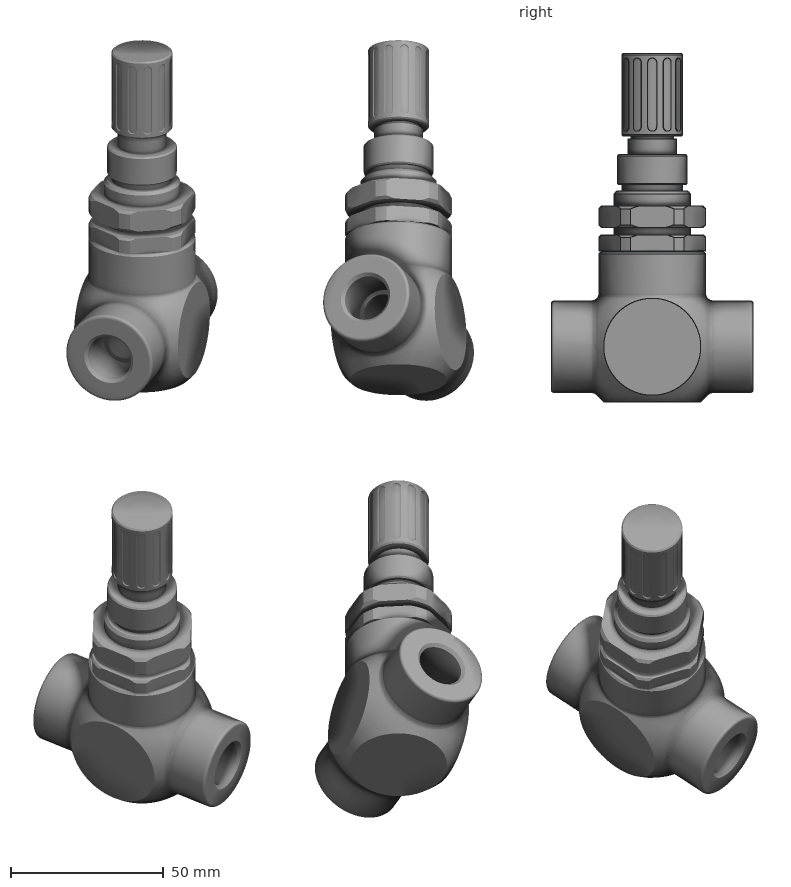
import cadquery as cq
import math

centre_z = 18.0
ball_radius = 48.0 / 2
port_length = 66.0
port_diameter = 30.0
port_ball_fillet = 2.0
bore_diameter = 12.0
thread_bore_diameter = 14.9
thread_bore_depth = 16.0
collar_diameter = 35.0
collar_ball_fillet = 1.0
collar_top_chamfer = 0.7
port_end_round = 1.0
thread_bore_chamfer = 1.0

collar_top = 49.0
hex_bottom = 49.4
hex_top = 54.5
nut_bottom = 57.0
nut_top = 64.1
bonnet_thread_top = 69.0
ring_bottom = 71.0
ring_top = 80.9
neck_top = 86.0
knob_bottom = 87.0
knob_top = 114.0

hex_across_flats = 32.0
hex_corner_diameter = collar_diameter
bonnet_hex_chamfer = 0.7
nut_chamfer = 0.9
washer_face_diameter = 30.0
bonnet_thread_diameter = 25.0
thread_end_chamfer = 0.9
groove_diameter = 20.0
ring_diameter = 22.8
ring_chamfer = 0.5

neck_diameter = 16.0
undercut_diameter = 14.0
knob_diameter = 20.0
knob_chamfer = 0.5
flute_count = 12
flute_width = 3.0
flute_length = 23.9
flute_depth = 0.3
flute_floor_fillet = 0.2


def upright_cylinder(diameter, bottom, top):
    """Cylinder on the valve axis between two heights."""
    return cq.Workplane("XY", origin=(0, 0, bottom)).circle(diameter / 2).extrude(top - bottom)


def cylinder_along_y(diameter, length):
    """Cylinder on the port axis, centred on the ball."""
    return cq.Workplane("XZ", origin=(0, 0, centre_z)).circle(diameter / 2).extrude(length / 2, both=True)


def turned_hexagon(bottom, top, chamfered_faces, chamfer):
    """Hexagon with flats facing +X and -X, its corners turned round and chamfered at the given faces."""
    across_corners = hex_across_flats / math.cos(math.radians(30))
    prism = (
        cq.Workplane("XY", origin=(0, 0, bottom))
        .transformed(rotate=(0, 0, 30))
        .polygon(6, across_corners)
        .extrude(top - bottom)
    )
    turned = upright_cylinder(hex_corner_diameter, bottom, top).faces(chamfered_faces).chamfer(chamfer)
    return prism.intersect(turned)


def thread_bore():
    """Wider bore with a chamfered mouth, in the port on the +Y side."""
    end = port_length / 2
    radius = thread_bore_diameter / 2
    return (
        cq.Workplane("XY")
        .polyline([
            (0, end),
            (radius + thread_bore_chamfer, end),
            (radius, end - thread_bore_chamfer),
            (radius, end - thread_bore_depth),
            (0, end - thread_bore_depth),
        ])
        .close()
        .revolve(360, (0, 0, 0), (0, 1, 0))
        .translate((0, 0, centre_z))
    )


def root_offset(diameter):
    """Distance from the ball centre to the circle where a cylinder of this diameter leaves the ball."""
    return math.sqrt(ball_radius**2 - (diameter / 2) ** 2)


def root_edges(y, z):
    """Selector for the circle around the ball whose centre lies at this Y and Z on the plane X = 0."""
    reach = 0.1
    return cq.selectors.BoxSelector((-reach, y - reach, z - reach), (reach, y + reach, z + reach))


def make_body():
    ball = cq.Workplane("XY", origin=(0, 0, centre_z)).sphere(ball_radius)
    ports = cylinder_along_y(port_diameter, port_length).faces("<Y or >Y").edges().fillet(port_end_round)
    collar = upright_cylinder(collar_diameter, centre_z, collar_top).faces(">Z").chamfer(collar_top_chamfer)

    body = ball.union(ports)
    for side in (-1, 1):
        port_root = root_edges(side * root_offset(port_diameter), centre_z)
        body = body.edges(port_root).fillet(port_ball_fillet)
    collar_root = root_edges(0, centre_z + root_offset(collar_diameter))
    body = body.union(collar).edges(collar_root).fillet(collar_ball_fillet)

    envelope = cq.Workplane("XY").box(2 * centre_z, port_length, collar_top, centered=(True, True, False))
    body = body.intersect(envelope)

    body = body.cut(cylinder_along_y(bore_diameter, port_length))
    return body.cut(thread_bore()).cut(thread_bore().mirror("XZ"))


def make_bonnet():
    washer_face = upright_cylinder(washer_face_diameter, collar_top, hex_bottom)
    hexagon = turned_hexagon(hex_bottom, hex_top, ">Z", bonnet_hex_chamfer)
    thread = upright_cylinder(bonnet_thread_diameter, hex_top, bonnet_thread_top)
    groove = upright_cylinder(groove_diameter, bonnet_thread_top, ring_bottom)
    ring = upright_cylinder(ring_diameter, ring_bottom, ring_top)
    return (
        washer_face.union(hexagon)
        .union(thread.faces(">Z").chamfer(thread_end_chamfer))
        .union(groove)
        .union(ring.faces("<Z or >Z").chamfer(ring_chamfer))
    )


def make_panel_nut():
    blank = turned_hexagon(nut_bottom, nut_top, "<Z or >Z", nut_chamfer)
    return blank.cut(upright_cylinder(bonnet_thread_diameter, nut_bottom, nut_top))


def flute_cutter():
    """Upright slot on the +X side, with a floor concentric with the knob and a fillet round that floor."""
    floor_radius = knob_diameter / 2 - flute_depth
    core = upright_cylinder(2 * floor_radius, knob_bottom, knob_top)
    slot = (
        cq.Workplane("YZ", origin=(0, 0, (knob_bottom + knob_top) / 2))
        .slot2D(flute_length, flute_width, 90)
        .extrude(knob_diameter)
    )
    return slot.cut(core).faces("<X").edges().fillet(flute_floor_fillet)


def make_knob():
    neck = upright_cylinder(neck_diameter, ring_top, neck_top)
    undercut = upright_cylinder(undercut_diameter, neck_top, knob_bottom)
    grip = upright_cylinder(knob_diameter, knob_bottom, knob_top).faces("<Z or >Z").chamfer(knob_chamfer)
    flute = flute_cutter()
    for i in range(flute_count):
        grip = grip.cut(flute.rotate((0, 0, 0), (0, 0, 1), i * 360 / flute_count))
    return neck.union(undercut).union(grip)


body = make_body()
bonnet = make_bonnet()
panel_nut = make_panel_nut()
knob = make_knob()

result = cq.Compound.makeCompound([body.val(), bonnet.val(), panel_nut.val(), knob.val()])